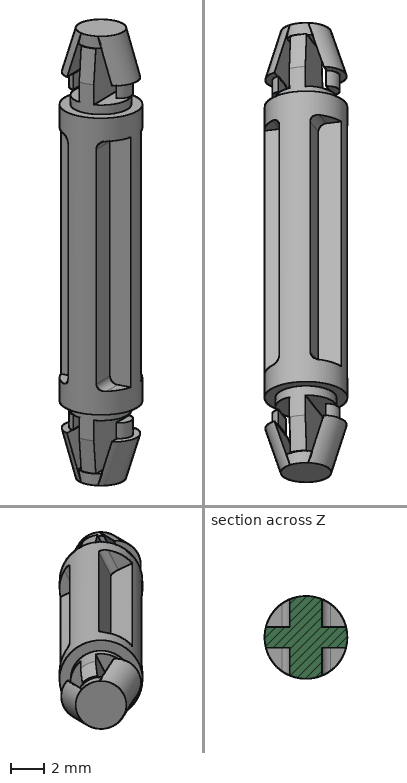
import cadquery as cq

total_height = 28.8
body_diameter = 5.0
body_height = 19.0

neck_diameter = 3.7
neck_height = 0.6
tip_diameter = 3.05
cap_thickness = 0.78
blade_thickness = 1.0
barb_length = 3.0

arm_thickness = 0.95

prong_length = 1.0
prong_radius = 0.8
prong_inner_x = 1.5
prong_outer_x = 2.1

pocket_end_margin = 1.5
core_half_x = 0.98
core_half_y = 0.63
pocket_fillet = 0.5

top_z = total_height / 2
body_top_z = body_height / 2
neck_top_z = body_top_z + neck_height
barb_base_z = top_z - barb_length
cap_base_z = top_z - cap_thickness
body_radius = body_diameter / 2
neck_radius = neck_diameter / 2
tip_radius = tip_diameter / 2
blade_top_radius = tip_radius + (neck_radius - tip_radius) * cap_thickness / barb_length
arm_lean = body_radius - tip_radius
arm_inner_top_x = tip_radius - arm_thickness
arm_inner_base_x = body_radius - arm_thickness
pocket_height = body_height - 2 * pocket_end_margin


def make_pocket(side_x, side_y):
    """Corner cutter whose two ends are rounded where they meet the core."""
    cutter = (
        cq.Workplane("XY")
        .box(body_diameter, body_diameter, pocket_height, centered=(False, False, True))
        .edges("<X and |Y")
        .fillet(pocket_fillet)
        .translate((core_half_x, core_half_y, 0))
    )
    if side_x < 0:
        cutter = cutter.mirror("YZ")
    if side_y < 0:
        cutter = cutter.mirror("XZ")
    return cutter


def make_body():
    body = cq.Workplane("XY").circle(body_radius).extrude(body_top_z, both=True)
    for side_x in (-1, 1):
        for side_y in (-1, 1):
            body = body.cut(make_pocket(side_x, side_y))
    return body


def make_stem():
    """Neck disc, tapered flat blade and straight-sided tip cap, cut from one turned profile."""
    turned = (
        cq.Workplane("XZ")
        .moveTo(0, body_top_z)
        .lineTo(neck_radius, body_top_z)
        .lineTo(neck_radius, barb_base_z)
        .lineTo(blade_top_radius, cap_base_z)
        .lineTo(tip_radius, cap_base_z)
        .lineTo(tip_radius, top_z)
        .lineTo(0, top_z)
        .close()
        .revolve(360, (0, 0, 0), (0, 1, 0))
    )
    gap_height = cap_base_z - neck_top_z
    for side in (-1, 1):
        gap = cq.Workplane("XY").box(body_diameter, body_diameter, gap_height, centered=(True, True, False))
        gap_center_x = side * (blade_thickness + body_diameter) / 2
        turned = turned.cut(gap.translate((gap_center_x, 0, neck_top_z)))
    return turned


def make_arm():
    """Leaning arm on the +X side with its prong."""
    lean_path = cq.Workplane("XZ").moveTo(0, top_z).lineTo(arm_lean, barb_base_z)
    leaning_bar = cq.Workplane("XY").workplane(offset=top_z).circle(tip_radius).sweep(lean_path)
    outer_side = (
        cq.Workplane("XZ")
        .moveTo(arm_inner_top_x, top_z)
        .lineTo(arm_inner_base_x, barb_base_z)
        .lineTo(body_diameter, barb_base_z)
        .lineTo(body_diameter, top_z)
        .close()
        .extrude(body_radius, both=True)
    )
    prong = (
        cq.Workplane("XY")
        .workplane(offset=barb_base_z - prong_length)
        .center(prong_outer_x - prong_radius, 0)
        .circle(prong_radius)
        .extrude(prong_length)
    )
    prong_side = cq.Workplane("XY").box(
        body_diameter, body_diameter, total_height, centered=(False, True, True)
    ).translate((prong_inner_x, 0, 0))
    return leaning_bar.intersect(outer_side).union(prong.intersect(prong_side))


arm = make_arm()
head = make_stem().union(arm).union(arm.mirror("YZ"))
result = make_body().union(head).union(head.mirror("XY"))